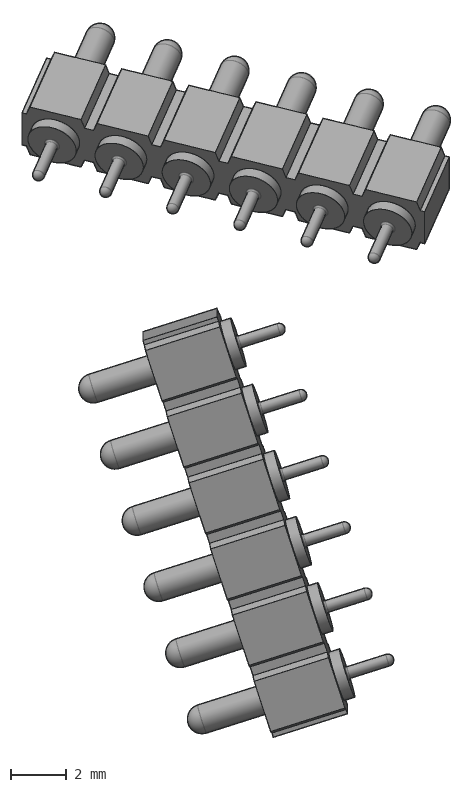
import cadquery as cq
import math

pin_count = 6
row_length = 15.24
pitch = row_length / pin_count

housing_height = pitch
housing_depth = 2.8
notch_depth = 0.41
notch_floor_inset = 0.17
notch_mouth_inset = 0.3

shaft_diameter = 1.07
shaft_projection = 2.8
flange_diameter = 1.83
flange_thickness = 0.4
tail_diameter = 0.44
tail_length = 1.75
tail_root_fillet = 0.06


def pin_position(index):
    """X of a pin axis, with the row centred on the origin."""
    return (index - (pin_count - 1) / 2) * pitch


def make_housing():
    """Bar of notched segments, with one through hole per pin."""
    top = housing_height / 2
    notch_floor = top - notch_depth
    half_pitch = pitch / 2

    upper_edge = [(-row_length / 2, notch_floor)]
    for index in range(pin_count):
        center = pin_position(index)
        upper_edge += [
            (center - half_pitch + notch_floor_inset, notch_floor),
            (center - half_pitch + notch_mouth_inset, top),
            (center + half_pitch - notch_mouth_inset, top),
            (center + half_pitch - notch_floor_inset, notch_floor),
        ]
    upper_edge.append((row_length / 2, notch_floor))
    lower_edge = [(x, -z) for x, z in reversed(upper_edge)]

    body = cq.Workplane("XZ").polyline(upper_edge + lower_edge).close().extrude(-housing_depth)
    holes = (
        cq.Workplane("XZ")
        .pushPoints([(pin_position(index), 0) for index in range(pin_count)])
        .circle(shaft_diameter / 2)
        .extrude(-housing_depth)
    )
    return body.cut(holes)


def make_pin(x):
    """Turned pin on the axis at x: domed tail, flange and domed shaft."""
    shaft_radius = shaft_diameter / 2
    flange_radius = flange_diameter / 2
    tail_radius = tail_diameter / 2
    diagonal = math.sqrt(0.5)

    flange_front = -flange_thickness
    tail_tip = flange_front - tail_length
    tail_dome_center = tail_tip + tail_radius
    shaft_tip = housing_depth + shaft_projection
    shaft_dome_center = shaft_tip - shaft_radius

    fillet_start = flange_front - tail_root_fillet
    fillet_end_radius = tail_radius + tail_root_fillet
    fillet_middle = (
        fillet_end_radius - tail_root_fillet * diagonal,
        fillet_start + tail_root_fillet * diagonal,
    )

    half_section = (
        cq.Workplane("XY")
        .moveTo(0, tail_tip)
        .threePointArc(
            (tail_radius * diagonal, tail_dome_center - tail_radius * diagonal),
            (tail_radius, tail_dome_center),
        )
        .lineTo(tail_radius, fillet_start)
        .threePointArc(fillet_middle, (fillet_end_radius, flange_front))
        .lineTo(flange_radius, flange_front)
        .lineTo(flange_radius, 0)
        .lineTo(shaft_radius, 0)
        .lineTo(shaft_radius, shaft_dome_center)
        .threePointArc(
            (shaft_radius * diagonal, shaft_dome_center + shaft_radius * diagonal),
            (0, shaft_tip),
        )
        .close()
    )
    return half_section.revolve(360, (0, 0), (0, 1)).translate((x, 0, 0))


housing = make_housing()
pins = [make_pin(pin_position(index)) for index in range(pin_count)]

result = cq.Compound.makeCompound([housing.val(), *[pin.val() for pin in pins]])